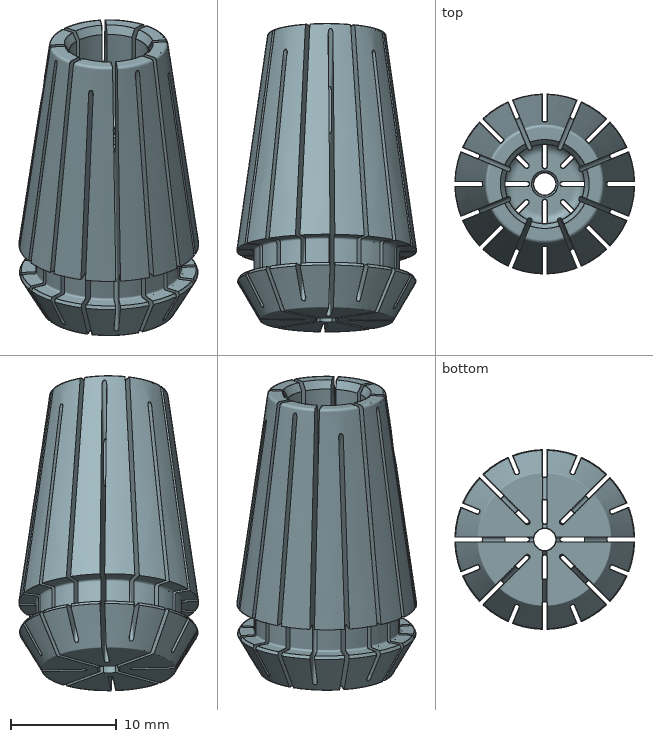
import cadquery as cq
import math

length = 27.5
taper_radius = 8.5
taper_half_angle = 8.0
taper_top_fillet = 0.3

groove_bottom = 4.0
groove_top = 6.65
groove_radius = 6.9
groove_fillet = 0.2

nose_half_angle = 30.0
nose_face_radius = 6.3
nose_rim_z = 3.7
nose_rim_chamfer_angle = 30.0
nose_face_fillet = 0.1

rear_bore_radius = 3.75
rear_bore_floor = 17.5
rear_bore_fillet = 0.9
rear_chamfer_radius = 4.2
rear_chamfer_half_angle = 30.0
grip_bore_radius = 1.05
grip_chamfer = 0.2

slot_width = 0.45
slot_reach = 12.0
slot_overrun = 1.0

full_slot_count = 4
full_slot_slope = 60.0
full_slot_floor_radius = 1.45

short_slot_count = 4
short_slot_slope = 70.0
short_slot_floor_radius = 2.2
short_slot_front_slope = 76.0
short_slot_front_radius = 2.08

top_slot_count = full_slot_count + short_slot_count
top_slot_slope = 79.5
top_slot_start = 0.65

slot_pitch = 360 / (full_slot_count + short_slot_count)


def rise(angle):
    """Height gained per unit of radius along a line at this slope angle."""
    return math.tan(math.radians(angle))


def round_edge(body, radius, z, fillet):
    """Fillet the circular edge of the given radius at height z."""
    tolerance = 0.001
    circles = body.edges("%CIRCLE").filter(
        lambda edge: abs(edge.radius() - radius) < tolerance and abs(edge.Center().z - z) < tolerance
    )
    return circles.fillet(fillet)


def make_outer_body():
    """Nose cone, extraction groove and long taper, without bores or slots."""
    taper_top_radius = taper_radius - (length - groove_top) * rise(taper_half_angle)
    nose_rim_radius = nose_face_radius + nose_rim_z * rise(nose_half_angle)
    rim_top_radius = nose_rim_radius - (groove_bottom - nose_rim_z) * rise(nose_rim_chamfer_angle)
    body = (
        cq.Workplane("XZ")
        .moveTo(0, 0)
        .lineTo(nose_face_radius, 0)
        .lineTo(nose_rim_radius, nose_rim_z)
        .lineTo(rim_top_radius, groove_bottom)
        .lineTo(groove_radius, groove_bottom)
        .lineTo(groove_radius, groove_top)
        .lineTo(taper_radius, groove_top)
        .lineTo(taper_top_radius, length)
        .lineTo(0, length)
        .close()
        .revolve(360, (0, 0, 0), (0, 1, 0))
    )
    body = round_edge(body, nose_face_radius, 0, nose_face_fillet)
    body = round_edge(body, groove_radius, groove_bottom, groove_fillet)
    body = round_edge(body, groove_radius, groove_top, groove_fillet)
    return round_edge(body, taper_top_radius, length, taper_top_fillet)


def make_bore():
    """Cutter for the gripping bore and the wide rear bore with its rounded floor."""
    chamfer_depth = (rear_chamfer_radius - rear_bore_radius) / rise(rear_chamfer_half_angle)
    bore = (
        cq.Workplane("XZ")
        .lineTo(grip_bore_radius, 0)
        .lineTo(grip_bore_radius, rear_bore_floor - grip_chamfer)
        .lineTo(grip_bore_radius + grip_chamfer, rear_bore_floor)
        .lineTo(rear_bore_radius, rear_bore_floor)
        .lineTo(rear_bore_radius, length - chamfer_depth)
        .lineTo(rear_chamfer_radius, length)
        .lineTo(0, length)
        .close()
        .revolve(360, (0, 0, 0), (0, 1, 0))
    )
    return round_edge(bore, rear_bore_radius, rear_bore_floor, rear_bore_fillet)


def slab(points):
    """Slot-wide plate with the given outline in the (radius, z) plane."""
    return cq.Workplane("XZ").polyline(points).close().extrude(slot_width / 2, both=True)


def sloped_floor(start, end):
    """Round bar whose deepest side runs from start to end, with its two axis end points.

    The bar lies to the right of the travel direction in the (radius, z) plane.
    """
    radius = slot_width / 2
    run = end[0] - start[0]
    climb = end[1] - start[1]
    bar_length = math.hypot(run, climb)
    start_x = start[0] + radius * climb / bar_length
    start_z = start[1] - radius * run / bar_length
    axis = cq.Vector(run, 0, climb)
    bar = cq.Solid.makeCylinder(radius, bar_length, cq.Vector(start_x, 0, start_z), axis)
    axis_start = (start_x, start_z)
    axis_end = (start_x + run, start_z + climb)
    return cq.Workplane(obj=bar), axis_start, axis_end


def upper_floor(slope, radius_at_bore_floor):
    """Upper slot floor from the axis outwards, passing the rear bore floor at the given radius."""
    axis_z = rear_bore_floor - radius_at_bore_floor * slope
    return sloped_floor((0, axis_z), (slot_reach, axis_z + slot_reach * slope))


def make_full_slot():
    bar, inner, outer = upper_floor(rise(full_slot_slope), full_slot_floor_radius)
    outline = [(0, -slot_overrun), (slot_reach, -slot_overrun), outer, inner, (0, inner[1])]
    return slab(outline).union(bar)


def make_short_slot():
    bar, inner, outer = upper_floor(rise(short_slot_slope), short_slot_floor_radius)
    front_slope = rise(short_slot_front_slope)
    front_start = (short_slot_front_radius + slot_overrun, -slot_overrun * front_slope)
    front_end = (0, short_slot_front_radius * front_slope)
    front_bar, front_outer, front_inner = sloped_floor(front_start, front_end)
    outline = [front_outer, (slot_reach, front_outer[1]), outer, inner, front_inner]
    return slab(outline).union(bar).union(front_bar)


def make_top_slot():
    slope = rise(top_slot_slope)
    start_radius = nose_face_radius + top_slot_start * rise(nose_half_angle)
    start = (start_radius + slot_overrun, top_slot_start - slot_overrun * slope)
    end = (start_radius - length / slope, top_slot_start + length)
    bar, outer, inner = sloped_floor(start, end)
    return slab([outer, (slot_reach, outer[1]), (slot_reach, inner[1]), inner]).union(bar)


def cut_slots(body, slot, first_angle, count):
    """Cut evenly spaced copies of the slot around Z."""
    for index in range(count):
        angle = first_angle + index * 360 / count
        body = body.cut(slot.rotate((0, 0, 0), (0, 0, 1), angle))
    return body


result = make_outer_body().cut(make_bore())
result = cut_slots(result, make_full_slot(), 0, full_slot_count)
result = cut_slots(result, make_short_slot(), slot_pitch, short_slot_count)
result = cut_slots(result, make_top_slot(), slot_pitch / 2, top_slot_count)